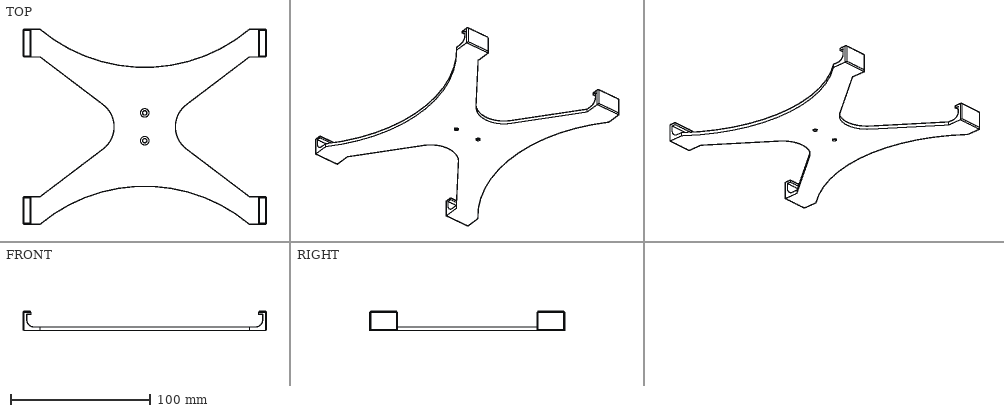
import cadquery as cq
import math

length = 175.0
width = 140.0
height = 14.0

plate_thickness = 2.6
foot_length = 12.5
foot_width = 20.0
end_waist = 42.7
side_waist = 22.0
side_notch_radius = 20.0

wall_thickness = 3.0
lip_length = 6.0
lip_thickness = 2.5
root_radius = 5.0
edge_chamfer = 0.9

hole_diameter = 3.0
countersink_diameter = 6.1
countersink_angle = 90
hole_spacing = 20.0

half_length = length / 2
half_width = width / 2
foot_inner_x = half_length - foot_length
foot_inner_y = half_width - foot_width


def notch_tangent_point():
    """Point where the straight arm edge meets the rounded side notch (+X, +Y quarter)."""
    center_x = side_waist + side_notch_radius
    dx = foot_inner_x - center_x
    distance = math.hypot(dx, foot_inner_y)
    corner_angle = math.atan2(foot_inner_y, dx)
    tangent_angle = corner_angle + math.acos(side_notch_radius / distance)
    return (
        center_x + side_notch_radius * math.cos(tangent_angle),
        side_notch_radius * math.sin(tangent_angle),
    )


def make_plate():
    """X-shaped plate with arced ends and rounded V notches at the sides."""
    tangent_x, tangent_y = notch_tangent_point()
    return (
        cq.Workplane("XY")
        .moveTo(-foot_inner_x, half_width)
        .threePointArc((0, end_waist), (foot_inner_x, half_width))
        .lineTo(half_length, half_width)
        .lineTo(half_length, foot_inner_y)
        .lineTo(foot_inner_x, foot_inner_y)
        .lineTo(tangent_x, tangent_y)
        .threePointArc((side_waist, 0), (tangent_x, -tangent_y))
        .lineTo(foot_inner_x, -foot_inner_y)
        .lineTo(half_length, -foot_inner_y)
        .lineTo(half_length, -half_width)
        .lineTo(foot_inner_x, -half_width)
        .threePointArc((0, -end_waist), (-foot_inner_x, -half_width))
        .lineTo(-half_length, -half_width)
        .lineTo(-half_length, -foot_inner_y)
        .lineTo(-foot_inner_x, -foot_inner_y)
        .lineTo(-tangent_x, -tangent_y)
        .threePointArc((-side_waist, 0), (-tangent_x, tangent_y))
        .lineTo(-foot_inner_x, foot_inner_y)
        .lineTo(-half_length, foot_inner_y)
        .lineTo(-half_length, half_width)
        .close()
        .extrude(plate_thickness)
    )


def make_hooked_foot():
    """Arm end at +X, +Y: wall, lip and rounded root, chamfered around the outer and top faces."""
    wall_x = half_length - wall_thickness
    lip_x = half_length - lip_length
    lip_z = height - lip_thickness
    root_middle = root_radius * (1 - math.sqrt(0.5))
    foot = (
        cq.Workplane("XZ", origin=(0, half_width, 0))
        .moveTo(foot_inner_x, 0)
        .lineTo(half_length, 0)
        .lineTo(half_length, height)
        .lineTo(lip_x, height)
        .lineTo(lip_x, lip_z)
        .lineTo(wall_x, lip_z)
        .lineTo(wall_x, plate_thickness + root_radius)
        .threePointArc(
            (wall_x - root_middle, plate_thickness + root_middle),
            (wall_x - root_radius, plate_thickness),
        )
        .lineTo(foot_inner_x, plate_thickness)
        .close()
        .extrude(foot_width)
    )
    outer_and_top_edges = foot.faces(">X or >Z").edges()
    return outer_and_top_edges.chamfer(edge_chamfer)


def make_body():
    """Plate whose four arm ends are replaced by the hooked feet."""
    foot_span = length - 2 * foot_length
    body = make_plate().intersect(cq.Workplane("XY").box(foot_span, width, height))
    foot = make_hooked_foot()
    foot_pair = foot.union(foot.mirror("XZ"))
    return body.union(foot_pair).union(foot_pair.mirror("YZ"))


result = (
    make_body()
    .copyWorkplane(cq.Workplane("XY", origin=(0, 0, plate_thickness)))
    .pushPoints([(0, -hole_spacing / 2), (0, hole_spacing / 2)])
    .cskHole(hole_diameter, countersink_diameter, countersink_angle)
)